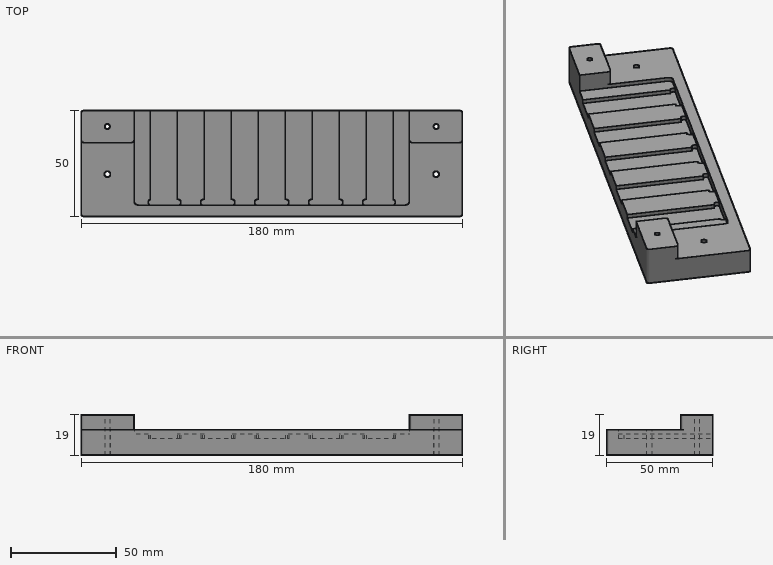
import cadquery as cq

length = 180.0
width = 50.0
plate_height = 12.0
corner_radius = 1.3

total_height = 19.0
block_length = 25.0
block_width = 15.1

front_wall = 5.4
tray_depth = 2.0
tray_corner_radius = 2.0

groove_count = 5
groove_pitch = 25.47
groove_width = 12.6
groove_depth = 2.0

relief_radius = 1.5
relief_setback = 1.3
relief_offset = 0.4
outer_relief_offset = -0.4

hole_inset = 12.5
block_hole_diameter = 2.3
block_hole_from_rear = 7.5
plate_hole_diameter = 2.7
plate_hole_from_rear = 30.0

rear = width / 2
tray_front = front_wall - width / 2
tray_length = length - 2 * block_length
tray_width = rear - tray_front
tray_floor = plate_height - tray_depth
groove_floor = tray_floor - groove_depth


def make_body():
    """Plate with a rounded block at each rear corner."""
    body = cq.Workplane("XY").box(length, width, plate_height, centered=(True, True, False))
    body = body.edges("|Z").fillet(corner_radius)
    for side in (-1, 1):
        outer_side = ">X" if side > 0 else "<X"
        block = (
            cq.Workplane("XY", origin=(0, 0, plate_height))
            .center(side * (length - block_length) / 2, rear - block_width / 2)
            .rect(block_length, block_width)
            .extrude(total_height - plate_height)
            .edges("(|Z and <Y) or (|Z and >Y and " + outer_side + ")")
            .fillet(corner_radius)
        )
        body = body.union(block)
    return body


def make_tray():
    """Tray cutter with rounded front corners."""
    return (
        cq.Workplane("XY", origin=(0, tray_front + tray_width / 2, tray_floor))
        .rect(tray_length, tray_width)
        .extrude(tray_depth)
        .edges("|Z and <Y")
        .fillet(tray_corner_radius)
    )


def make_groove(index):
    """Groove cutter with a round relief at each front corner."""
    center_x = (index - (groove_count - 1) / 2) * groove_pitch
    groove = (
        cq.Workplane("XY", origin=(center_x, tray_front + tray_width / 2, groove_floor))
        .rect(groove_width, tray_width)
        .extrude(groove_depth)
    )
    for side in (-1, 1):
        is_outermost = index == (0 if side < 0 else groove_count - 1)
        offset = outer_relief_offset if is_outermost else relief_offset
        relief_x = center_x + side * (groove_width / 2 + offset)
        relief = (
            cq.Workplane("XY", origin=(relief_x, tray_front + relief_setback, groove_floor))
            .circle(relief_radius)
            .extrude(groove_depth)
        )
        groove = groove.union(relief)
    behind_front_wall = cq.Workplane("XY", origin=(0, tray_front + tray_width / 2, groove_floor)).box(
        tray_length, tray_width, groove_depth, centered=(True, True, False)
    )
    return groove.intersect(behind_front_wall)


def make_holes(diameter, from_rear):
    """Pair of through-hole cutters, one near each end."""
    hole_x = length / 2 - hole_inset
    return (
        cq.Workplane("XY")
        .pushPoints([(-hole_x, rear - from_rear), (hole_x, rear - from_rear)])
        .circle(diameter / 2)
        .extrude(total_height)
    )


result = make_body().cut(make_tray())
for groove_index in range(groove_count):
    result = result.cut(make_groove(groove_index))
result = result.cut(make_holes(block_hole_diameter, block_hole_from_rear))
result = result.cut(make_holes(plate_hole_diameter, plate_hole_from_rear))